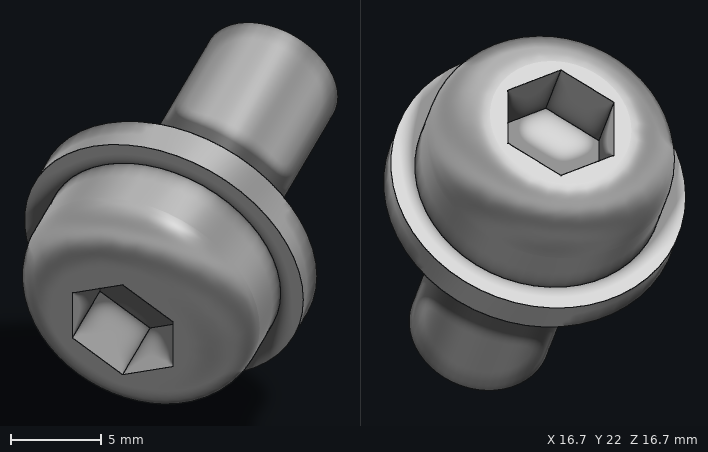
import cadquery as cq
import math

total_length = 22.0
shank_diameter = 8.0
head_diameter = 14.0
head_height = 6.0
head_rounding = (head_diameter - shank_diameter) / 2
flange_diameter = 16.7
flange_thickness = 2.0
tip_chamfer_length = 0.35
tip_chamfer_depth = 0.6
hex_across_flats = 6.0
hex_depth = 4.0

flange_end = head_height + flange_thickness
shank_radius = shank_diameter / 2
head_radius = head_diameter / 2
flange_radius = flange_diameter / 2


def make_body():
    """Revolve the half profile of head, flange and shank around Y."""
    face_radius = head_radius - head_rounding
    arc_offset = head_rounding * math.sin(math.radians(45))
    arc_middle = (face_radius + arc_offset, head_rounding - arc_offset)
    return (
        cq.Workplane("XY")
        .moveTo(0, 0)
        .lineTo(face_radius, 0)
        .threePointArc(arc_middle, (head_radius, head_rounding))
        .lineTo(head_radius, head_height)
        .lineTo(flange_radius, head_height)
        .lineTo(flange_radius, flange_end)
        .lineTo(shank_radius, flange_end)
        .lineTo(shank_radius, total_length - tip_chamfer_length)
        .lineTo(shank_radius - tip_chamfer_depth, total_length)
        .lineTo(0, total_length)
        .close()
        .revolve(360, (0, 0, 0), (0, 1, 0))
    )


def make_hex_socket():
    """Hexagonal prism with two corners on the Z axis."""
    across_corners = hex_across_flats / math.cos(math.radians(30))
    return (
        cq.Workplane("XZ")
        .transformed(rotate=(0, 0, 90))
        .polygon(6, across_corners)
        .extrude(-hex_depth)
    )


result = make_body().cut(make_hex_socket())